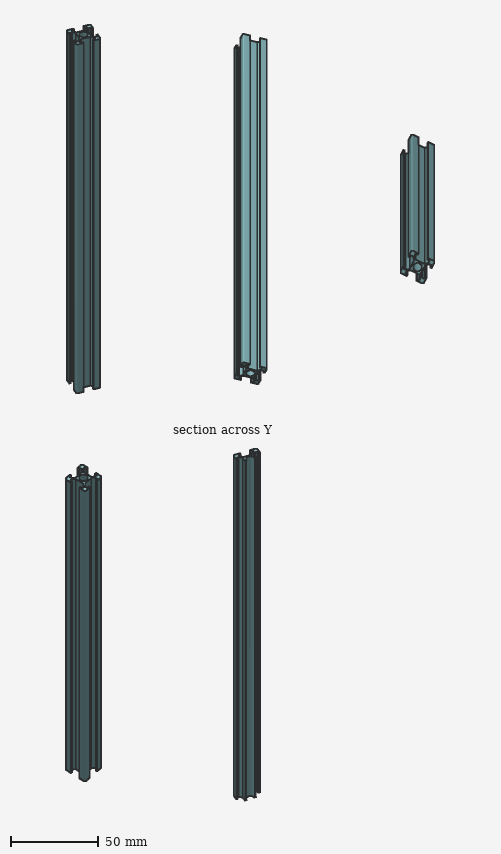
import cadquery as cq
import math

length = 250.0
side = 15.0
slot_opening = 6.2
lip_thickness = 1.0
corner_block = 3.0
block_chamfer = 0.8
core_side = 7.0
bore_diameter = 5.0
web_thickness = 1.0
corner_radius = 1.0

half_side = side / 2
lip_length = (side - slot_opening) / 2


def chamfered_block():
    """Square bar filling the outer (+X, +Y) corner, with its inner edge chamfered."""
    centre = half_side - corner_block / 2
    block = cq.Workplane("XY").center(centre, centre).rect(corner_block, corner_block).extrude(length)
    return block.edges("|Z").edges("<(1, 1, 0)").chamfer(block_chamfer)


def corner_lips():
    """Two thin lips that meet at the outer corner and narrow the slot openings."""
    lip_centre = half_side - lip_length / 2
    edge_centre = half_side - lip_thickness / 2
    along_x = (
        cq.Workplane("XY").center(lip_centre, edge_centre).rect(lip_length, lip_thickness).extrude(length)
    )
    along_y = (
        cq.Workplane("XY").center(edge_centre, lip_centre).rect(lip_thickness, lip_length).extrude(length)
    )
    return along_x.union(along_y)


def diagonal_web():
    """Web from the middle of the core to the middle of the corner block."""
    web_length = math.sqrt(2) * (half_side - corner_block / 2)
    return (
        cq.Workplane("XY")
        .center(web_length / 2, 0)
        .rect(web_length, web_thickness)
        .extrude(length)
        .rotate((0, 0, 0), (0, 0, 1), 45)
    )


corner = chamfered_block().union(corner_lips())
corner = corner.edges("|Z").edges(">(1, 1, 0)").fillet(corner_radius)
corner = corner.union(diagonal_web())

profile = cq.Workplane("XY").rect(core_side, core_side).extrude(length)
for quarter_turn in range(4):
    profile = profile.union(corner.rotate((0, 0, 0), (0, 0, 1), 90 * quarter_turn))

bore = cq.Workplane("XY").circle(bore_diameter / 2).extrude(length)
result = profile.cut(bore)